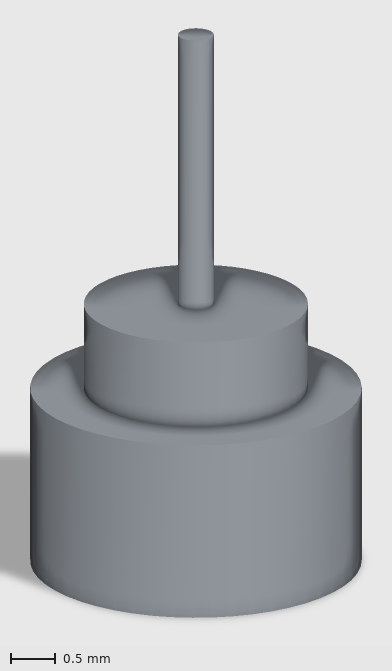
import cadquery as cq

total_height = 6.25

base_diameter = 3.7
base_height = 2.05
collar_diameter = 2.5
collar_height = 1.0
seal_diameter = 1.95
pin_diameter = 0.4

collar_top = base_height + collar_height
pin_length = total_height - collar_top


def cylinder(diameter, height, bottom):
    """Upright cylinder on the Z axis, standing at the given height."""
    return cq.Workplane("XY").workplane(offset=bottom).circle(diameter / 2).extrude(height)


base = cylinder(base_diameter, base_height, 0)
seal = cylinder(seal_diameter, collar_height, base_height)
collar = cylinder(collar_diameter, collar_height, base_height).cut(seal)
pin = cylinder(pin_diameter, pin_length, collar_top)

result = base.union(collar, clean=False).union(seal, clean=False).union(pin, clean=False)